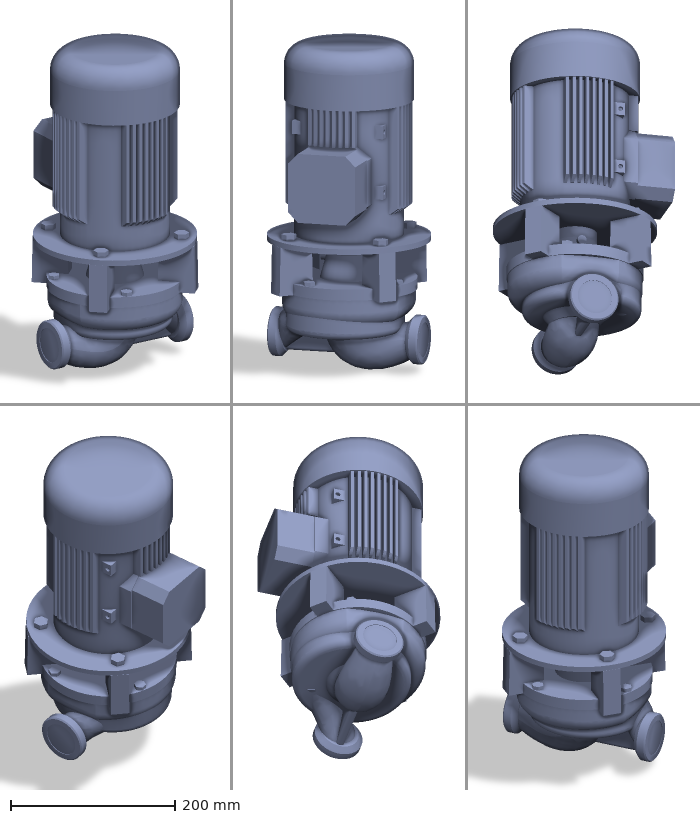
import cadquery as cq
import math


total_top = 363.0
mount_top = 126.0
mount_thickness = 7.0
mount_bottom = mount_top - mount_thickness
cover_top = 73.0
joint_height = 59.3

mount_radius = 100.0
frame_radius = 67.0
cap_radius = 79.0
cap_bottom = 293.0
cap_rounding = 25.0
fin_tip_radius = 77.5
fin_count = 8
fin_pitch = 8.0
fin_thickness = 3.5
fin_bottom = 158.5
fin_bevel_height = 7.5
fin_bevel_radius = 67.7
shaft_radius = 10.0
mount_bolt_offset = 58.5
mount_bolt_flats = 16.0
mount_bolt_height = 7.0
lug_corner_x = -47.5
lug_corner_y = 58.0
lug_height = 16.0
lug_centres = (263.3, 188.3)
lug_hole_diameter = 6.0
lug_hole_depth = 4.0
lug_hole_x = -42.5

seat_size = 88.5
seat_face_x = -67.7
seat_centre_z = 202.8
seat_corner = 15.7
box_size = 85.5
box_outer_x = -115.0
box_centre_y = -1.0
box_centre_z = 202.0
box_corner = 12.5

cover_radius = 83.5
neck_top = 117.5
neck_radius = 27.0
cone_top = 103.5
cone_bottom_radius = 35.5
leg_angle = 45
leg_width = 22.5
leg_outer_top = 100.0
leg_outer_bottom = 101.0
leg_inner_top = 57.0
leg_inner_bottom = 55.2
cover_bolt_circle = 75.8
cover_bolt_angle = 67.5
cover_bolt_flats = 13.0
cover_bolt_height = 5.0
vent_radius = 5.5
vent_height = 97.5
vent_reach = 34.5

rim_radius = 82.2
rim_bottom = 43.0
rim_rounding = 18.5
pad_half_width = 36.0
pad_reach = 77.5
scroll_radius = 72.5
scroll_shift_x = -7.5
scroll_shift_y = 2.5
scroll_bottom = 8.5
scroll_rounding = 9.0
collar_radius = 39.0
collar_bottom = -1.2
elbow_radius = 30.0
elbow_top = 20.0
elbow_entry = ((0, -64.5, -5.5), (0, 1, -0.2), 25.0)
elbow_dip = ((0, -31.5, -11.0), (0, 1, 0.4), 31.0)
elbow_turn = ((0, -13.0, -6.0), (0, 1, 1), 31.5)
outlet_start = ((-52.5, 24.0, 24.0), (0.3, 1, 0), 17.0)
outlet_curl = ((-20.0, 60.5, 18.0), (0.6, 0.7, -0.6), 20.0)
pipe_radius = 22.5
nozzle_face = 95.5
nozzle_thickness = 12.5
nozzle_back = nozzle_face - nozzle_thickness
nozzle_radius = 30.2
nozzle_edge = 1.5
nozzle_taper = 5.0
nozzle_neck = 23.5
mouth_radius = 21.5
mouth_depth = 1.0
web_thickness = 9.5
web_bottom = -21.8
web_rounding = 4.0


def disc(radius, bottom, top):
    return cq.Workplane("XY").workplane(offset=bottom).circle(radius).extrude(top - bottom)


def hexagon_head(flats, height, x, y, bottom, turn=0):
    """Hexagon bolt head with its corners along X, turned about Z by `turn` degrees."""
    corner_diameter = flats / math.cos(math.radians(30))
    head = cq.Workplane("XY").polygon(6, corner_diameter).extrude(height)
    return head.rotate((0, 0, 0), (0, 0, 1), turn).translate((x, y, bottom))


def bevelled_block(size, corner, inner_x, outer_x, centre_y, centre_z):
    """Square block lying along X with its four long edges bevelled."""
    block = cq.Workplane("XY").box(inner_x - outer_x, size, size).edges("|X").chamfer(corner)
    return block.translate(((inner_x + outer_x) / 2, centre_y, centre_z))



def fin_envelope():
    """Turned shape that limits the fins: cylindrical tips, bevelled at the foot."""
    return (
        cq.Workplane("XZ")
        .moveTo(0, fin_bottom)
        .lineTo(fin_bevel_radius, fin_bottom)
        .lineTo(fin_tip_radius, fin_bottom + fin_bevel_height)
        .lineTo(fin_tip_radius, cap_bottom)
        .lineTo(0, cap_bottom)
        .close()
        .revolve(360, (0, 0, 0), (0, 1, 0))
    )


def fin_group(direction, bottom):
    """Parallel fins reaching out in one of the four directions, given in degrees from +X."""
    height = cap_bottom - bottom
    fins = cq.Workplane("XY")
    for index in range(fin_count):
        side = (index - (fin_count - 1) / 2) * fin_pitch
        fin = cq.Workplane("XY").box(cap_radius, fin_thickness, height, centered=(False, True, False))
        fins = fins.union(fin.translate((0, side, bottom)))
    return fins.rotate((0, 0, 0), (0, 0, 1), direction).intersect(fin_envelope())


def lifting_lug(side, centre_z):
    """Square-cornered lug on the -X half; `side` is +1 for +Y and -1 for -Y."""
    lug = cq.Workplane("XY").box(-lug_corner_x, lug_corner_y, lug_height, centered=(False, False, True))
    lug = lug.translate((lug_corner_x, 0, centre_z))
    hole = (
        cq.Workplane("XZ", origin=(lug_hole_x, lug_corner_y, centre_z))
        .circle(lug_hole_diameter / 2)
        .extrude(lug_hole_depth)
    )
    lug = lug.cut(hole)
    return lug if side > 0 else lug.mirror("XZ")


def make_motor():
    cap = disc(cap_radius, cap_bottom, total_top).faces(">Z").edges().fillet(cap_rounding)
    motor = disc(mount_radius, mount_bottom, mount_top)
    motor = motor.union(disc(frame_radius, mount_top, cap_bottom)).union(cap)
    motor = motor.union(disc(shaft_radius, neck_top, mount_bottom))

    seat_top = seat_centre_z + seat_size / 2
    for direction, bottom in ((0, fin_bottom), (90, fin_bottom), (180, seat_top), (270, fin_bottom)):
        motor = motor.union(fin_group(direction, bottom))

    motor = motor.union(bevelled_block(seat_size, seat_corner, 0, seat_face_x, 0, seat_centre_z))
    for side in (1, -1):
        for centre_z in lug_centres:
            motor = motor.union(lifting_lug(side, centre_z))
    for x in (-mount_bolt_offset, mount_bolt_offset):
        for y in (-mount_bolt_offset, mount_bolt_offset):
            motor = motor.union(hexagon_head(mount_bolt_flats, mount_bolt_height, x, y, mount_top))
    return motor



def make_terminal_box():
    return bevelled_block(box_size, box_corner, seat_face_x, box_outer_x, box_centre_y, box_centre_z)



def lantern_leg(angle):
    """Radial leg from the pump housing up to the motor flange, slightly wider at its foot."""
    return (
        cq.Workplane("XZ")
        .moveTo(leg_inner_bottom, joint_height)
        .lineTo(leg_outer_bottom, joint_height)
        .lineTo(leg_outer_top, mount_bottom)
        .lineTo(leg_inner_top, mount_bottom)
        .close()
        .extrude(leg_width / 2, both=True)
        .rotate((0, 0, 0), (0, 0, 1), angle)
    )


def make_lantern():
    lantern = (
        cq.Workplane("XZ")
        .moveTo(0, joint_height)
        .lineTo(cover_radius, joint_height)
        .lineTo(cover_radius, cover_top)
        .lineTo(cone_bottom_radius, cover_top)
        .lineTo(neck_radius, cone_top)
        .lineTo(neck_radius, neck_top)
        .lineTo(0, neck_top)
        .close()
        .revolve(360, (0, 0, 0), (0, 1, 0))
    )
    for quarter in range(4):
        lantern = lantern.union(lantern_leg(leg_angle + 90 * quarter))
        angle = math.radians(cover_bolt_angle + 90 * quarter)
        x = cover_bolt_circle * math.cos(angle)
        y = cover_bolt_circle * math.sin(angle)
        lantern = lantern.union(
            hexagon_head(cover_bolt_flats, cover_bolt_height, x, y, cover_top, turn=90)
        )
    vent = cq.Workplane("XZ", origin=(0, 0, vent_height)).circle(vent_radius).extrude(-vent_reach)
    return lantern.union(vent)



def housing_rim():
    """Round rim with a rounded underside, flattened by two bowed pads on the -Y and +Y sides."""
    pad_y = math.sqrt(rim_radius**2 - pad_half_width**2)
    floor = rim_bottom - rim_rounding
    return (
        cq.Workplane("XY", origin=(0, 0, floor))
        .moveTo(-pad_half_width, -pad_y)
        .threePointArc((0, -pad_reach), (pad_half_width, -pad_y))
        .threePointArc((rim_radius, 0), (pad_half_width, pad_y))
        .threePointArc((0, pad_reach), (-pad_half_width, pad_y))
        .threePointArc((-rim_radius, 0), (-pad_half_width, -pad_y))
        .close()
        .extrude(joint_height - floor)
        .faces("<Z")
        .edges()
        .fillet(rim_rounding)
    )


def scroll():
    """Offset drum that carries the flow, with a tapered collar over the suction elbow."""
    drum = disc(scroll_radius, scroll_bottom, rim_bottom).faces("<Z").edges().fillet(scroll_rounding)
    drum = drum.translate((scroll_shift_x, scroll_shift_y, 0))
    collar = (
        cq.Workplane("XY", origin=(0, 0, scroll_bottom))
        .circle(collar_radius)
        .workplane(offset=collar_bottom - scroll_bottom)
        .circle(elbow_radius)
        .loft()
    )
    return drum.union(collar)


def pipe(stations):
    """Smooth pipe through round sections, each given as (centre, direction, radius)."""
    wires = [
        cq.Wire.makeCircle(radius, cq.Vector(*centre), cq.Vector(*direction))
        for centre, direction, radius in stations
    ]
    return cq.Workplane("XY").newObject([cq.Solid.makeLoft(wires)])


def suction_elbow():
    """Bulging elbow from the -Y nozzle, dipping and turning up into the scroll."""
    inlet = ((0, -nozzle_back, 0), (0, 1, 0), pipe_radius)
    outlet = ((0, 0, elbow_top), (0, 0, 1), elbow_radius)
    return pipe([inlet, elbow_entry, elbow_dip, elbow_turn, outlet])


def outlet_pipe():
    """Pipe leaving the scroll on the -X side and curling round to the +Y nozzle."""
    outlet = ((0, nozzle_back, 0), (0, 1, 0), pipe_radius)
    return pipe([outlet_start, outlet_curl, outlet])


def nozzle(side):
    """Nozzle flange with a tapered back and a shallow mouth; `side` is +1 for +Y, -1 for -Y."""
    flange = (
        cq.Workplane("XY")
        .moveTo(0, nozzle_back - nozzle_taper)
        .lineTo(nozzle_neck, nozzle_back - nozzle_taper)
        .lineTo(nozzle_radius - nozzle_edge, nozzle_back)
        .lineTo(nozzle_radius, nozzle_back + nozzle_edge)
        .lineTo(nozzle_radius, nozzle_face - nozzle_edge)
        .lineTo(nozzle_radius - nozzle_edge, nozzle_face)
        .lineTo(mouth_radius, nozzle_face)
        .lineTo(mouth_radius, nozzle_face - mouth_depth)
        .lineTo(0, nozzle_face - mouth_depth)
        .close()
        .revolve(360, (0, 0, 0), (0, 1, 0))
    )
    return flange if side > 0 else flange.mirror("XZ")


def web():
    """Upright plate that joins the two pipes under the scroll, rounded along its lower edge."""
    height = scroll_bottom + scroll_rounding - web_bottom
    plate = cq.Workplane("XY").box(web_thickness, nozzle_back, height, centered=(True, False, False))
    return plate.faces("<Z").edges("|Y").fillet(web_rounding).translate((0, 0, web_bottom))


def make_housing():
    housing = housing_rim().union(scroll()).union(suction_elbow()).union(outlet_pipe())
    for side in (1, -1):
        housing = housing.union(nozzle(side))
    return housing.union(web())


motor = make_motor()
terminal_box = make_terminal_box()
lantern = make_lantern()
housing = make_housing()

result = cq.Compound.makeCompound(
    [body.solids().val() for body in (motor, terminal_box, lantern, housing)]
)